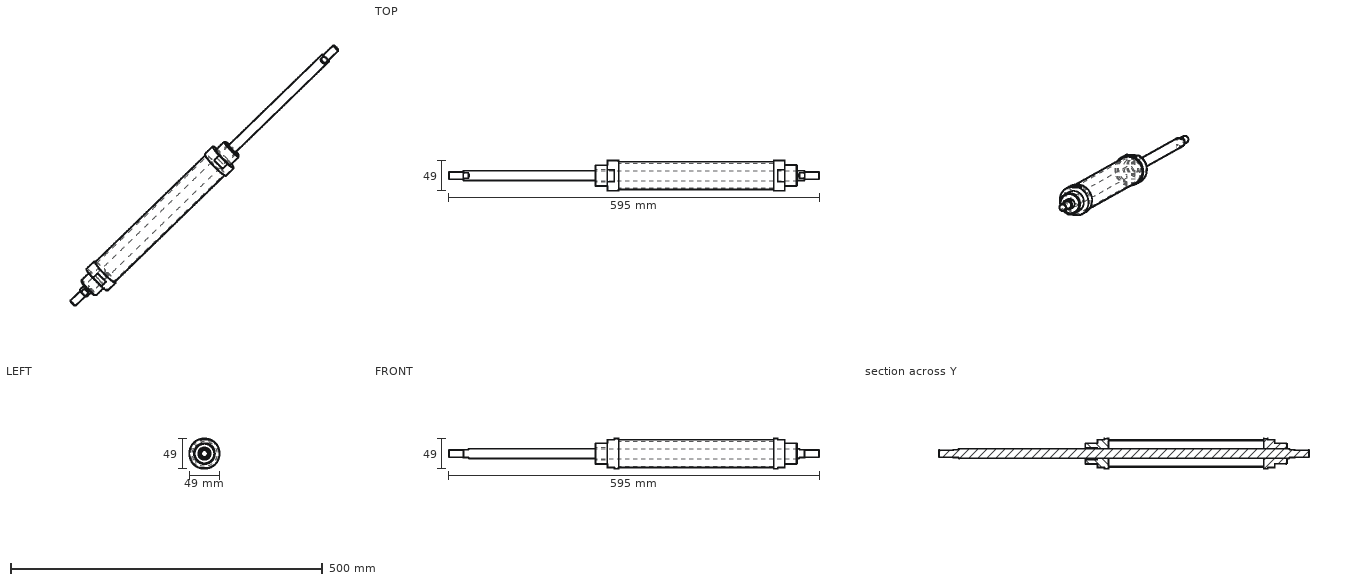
import cadquery as cq

total_length = 595.0

rod_diameter = 16.0
stud_diameter = 12.0
stud_length = 23.0
stud_chamfer = 0.75
shoulder_chamfer = 1.0
left_rod_reach = 212.0
right_rod_reach = 12.0
wrench_flat_width = 13.0
wrench_flat_length = 8.0

collar_diameter = 49.0
collar_length = 18.0
collar_flat_width = 45.0
collar_flat_length = 11.0
neck_diameter = 34.0
neck_length = 20.0
neck_chamfer = 1.5

bush_diameter = 20.0
bush_length = neck_length

tube_diameter = 45.0
tube_bore = 40.0

rod_left_end = -total_length / 2
rod_right_end = total_length / 2
left_shoulder = rod_left_end + stud_length
right_shoulder = rod_right_end - stud_length
left_neck_end = left_shoulder + left_rod_reach
right_neck_end = right_shoulder - right_rod_reach
cap_length = neck_length + collar_length
tube_left_end = left_neck_end + cap_length
tube_right_end = right_neck_end - cap_length


def cylinder(start, end, diameter):
    """Round bar along X from start to end."""
    return cq.Workplane("YZ", origin=(start, 0, 0)).circle(diameter / 2).extrude(end - start)


def cut_collar_flats(collar):
    """Cut two parallel flats, on top and underneath, into the neck end of a collar."""
    depth = (collar_diameter - collar_flat_width) / 2
    middle_x = collar_length - collar_flat_length / 2
    for side in (-1, 1):
        cutter = cq.Workplane("XY").box(collar_flat_length, collar_diameter, depth)
        middle_z = side * (collar_flat_width + depth) / 2
        collar = collar.cut(cutter.translate((middle_x, 0, middle_z)))
    return collar


def cut_wrench_flats(bar, shoulder, inward):
    """Cut the two wrench flats at a shoulder; each runs out at 45 degrees on the side away from it."""
    flat_height = wrench_flat_width / 2
    rod_radius = rod_diameter / 2
    runout_start = shoulder + inward * wrench_flat_length
    runout_end = runout_start + inward * (rod_radius - flat_height)
    for side in (-1, 1):
        profile = cq.Workplane("XZ").polyline([
            (shoulder, side * flat_height),
            (runout_start, side * flat_height),
            (runout_end, side * rod_radius),
            (shoulder, side * rod_radius),
        ]).close()
        bar = bar.cut(profile.extrude(rod_radius, both=True))
    return bar


def make_rod():
    """Rod with a stud and a pair of wrench flats at each end."""
    bar = cylinder(left_shoulder, right_shoulder, rod_diameter).edges().chamfer(shoulder_chamfer)
    bar = cut_wrench_flats(bar, left_shoulder, 1)
    bar = cut_wrench_flats(bar, right_shoulder, -1)
    left_stud = cylinder(rod_left_end, left_shoulder, stud_diameter).faces("<X").chamfer(stud_chamfer)
    right_stud = cylinder(right_shoulder, rod_right_end, stud_diameter).faces(">X").chamfer(stud_chamfer)
    return bar.union(left_stud).union(right_stud)


def make_cap():
    """End cap with its tube face at X = 0 and its neck pointing to +X."""
    collar = cut_collar_flats(cylinder(0, collar_length, collar_diameter))
    neck = cylinder(collar_length, cap_length, neck_diameter).faces(">X").chamfer(neck_chamfer)
    rod_hole = cylinder(0, cap_length, rod_diameter)
    return collar.union(neck).cut(rod_hole)


def make_tube():
    """Plain tube between the caps."""
    outside = cylinder(tube_left_end, tube_right_end, tube_diameter)
    return outside.cut(cylinder(tube_left_end, tube_right_end, tube_bore))


def make_bush():
    """Guide bush between the rod and the left neck."""
    bush_end = left_neck_end + bush_length
    outside = cylinder(left_neck_end, bush_end, bush_diameter)
    return outside.cut(cylinder(left_neck_end, bush_end, rod_diameter))


rod = make_rod()
tube = make_tube()
bush = make_bush()
caps = []
for turn, tube_end in ((180, tube_left_end), (0, tube_right_end)):
    cap = make_cap().rotate((0, 0, 0), (0, 0, 1), turn)
    caps.append(cap.translate((tube_end, 0, 0)))

bush_seat = cylinder(left_neck_end, left_neck_end + bush_length, bush_diameter)
caps[0] = caps[0].cut(bush_seat)

result = cq.Compound.makeCompound([rod.val(), tube.val(), bush.val(), *[cap.val() for cap in caps]])